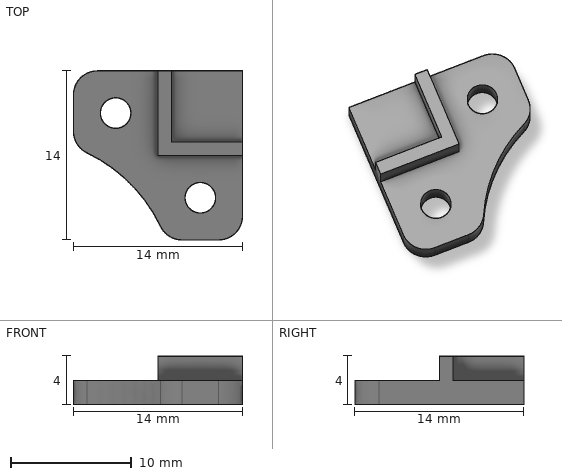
import cadquery as cq
import math

side = 14.0
plate_thickness = side / 7
wall_height = side / 7
wall_length = side / 2
wall_thickness = 1.1
hole_diameter = 2.5
hole_inset = side / 4
corner_radius = side / 7
lobe_center = 9.0
scoop_radius = 12.85


def plate_outline():
    """Square plate outline with two rounded lobes joined by a concave scoop."""
    r = corner_radius
    diagonal = math.sqrt(0.5)

    reach = scoop_radius + r
    half_gap = (lobe_center - r) * diagonal
    along = (lobe_center + r) * diagonal - math.sqrt(reach**2 - half_gap**2)
    scoop_center = along * diagonal
    scoop_middle = scoop_center + scoop_radius * diagonal

    ux = (r - scoop_center) / reach
    uy = (lobe_center - scoop_center) / reach
    tangent_x = r - r * ux
    tangent_y = lobe_center - r * uy

    mid_x, mid_y = -1 - ux, -uy
    mid_length = math.hypot(mid_x, mid_y)
    lobe_x = r + r * mid_x / mid_length
    lobe_y = lobe_center + r * mid_y / mid_length

    near = r * (1 - diagonal)
    far = side - near
    return (
        cq.Workplane("XY")
        .moveTo(side, side)
        .lineTo(r, side)
        .threePointArc((near, far), (0, side - r))
        .lineTo(0, lobe_center)
        .threePointArc((lobe_x, lobe_y), (tangent_x, tangent_y))
        .threePointArc((scoop_middle, scoop_middle), (tangent_y, tangent_x))
        .threePointArc((lobe_y, lobe_x), (lobe_center, 0))
        .lineTo(side - r, 0)
        .threePointArc((far, near), (side, r))
        .close()
    )


def base_plate():
    """Plate with one through hole in each lobe."""
    hole_points = [(hole_inset, side - hole_inset), (side - hole_inset, hole_inset)]
    plate = plate_outline().extrude(plate_thickness)
    holes = (
        cq.Workplane("XY")
        .pushPoints(hole_points)
        .circle(hole_diameter / 2)
        .extrude(plate_thickness)
    )
    return plate.cut(holes)


def corner_wall():
    """L-shaped wall around the square back corner of the plate."""
    outer = side - wall_length
    inner = outer + wall_thickness
    return (
        cq.Workplane("XY")
        .workplane(offset=plate_thickness)
        .polyline([
            (outer, outer),
            (side, outer),
            (side, inner),
            (inner, inner),
            (inner, side),
            (outer, side),
        ])
        .close()
        .extrude(wall_height)
    )


result = base_plate().union(corner_wall())